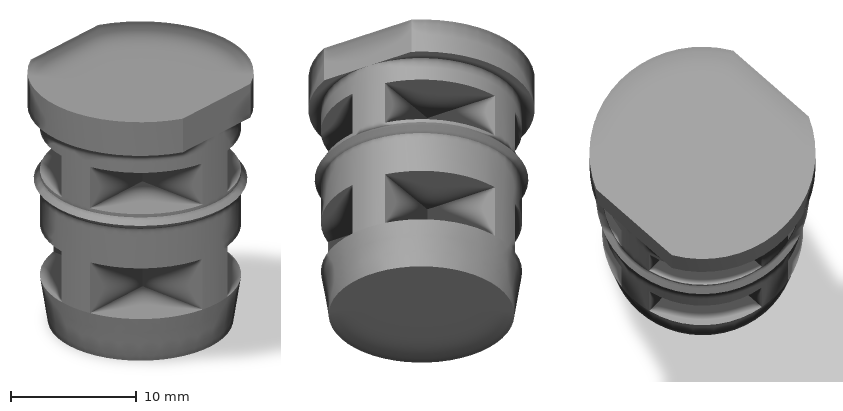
import cadquery as cq

total_height = 22.0
flange_diameter = 18.0
flange_thickness = 3.0
body_diameter = 16.02
across_flats = body_diameter

nose_height = 4.0
nose_tip_diameter = 14.78

ridge_diameter = 17.0
ridge_center_z = 12.55
ridge_half_height = 0.5

arm_width = 3.04
lower_pocket_bottom = nose_height
lower_pocket_top = 8.51
upper_pocket_bottom = 13.33
upper_pocket_top = 17.0

flange_bottom = total_height - flange_thickness
body_radius = body_diameter / 2
ridge_radius = ridge_diameter / 2


def make_body():
    """Revolve the nose, the ridge and the plain body as one solid about Z."""
    return (
        cq.Workplane("XZ")
        .moveTo(0, 0)
        .lineTo(nose_tip_diameter / 2, 0)
        .lineTo(body_radius, nose_height)
        .lineTo(body_radius, ridge_center_z - ridge_half_height)
        .lineTo(ridge_radius, ridge_center_z)
        .lineTo(body_radius, ridge_center_z + ridge_half_height)
        .lineTo(body_radius, flange_bottom)
        .lineTo(0, flange_bottom)
        .close()
        .revolve(360, (0, 0, 0), (0, 1, 0))
    )


def make_flange():
    """Round head with two flats facing -X and +X."""
    base = cq.Workplane("XY").workplane(offset=flange_bottom)
    disc = base.circle(flange_diameter / 2).extrude(flange_thickness)
    slab = base.rect(across_flats, flange_diameter).extrude(flange_thickness)
    return disc.intersect(slab)


def make_pocket_tier(bottom, top):
    """Four square corner cutters around the cross-shaped core."""
    pocket_side = body_radius
    pocket_offset = (arm_width + pocket_side) / 2
    return (
        cq.Workplane("XY")
        .workplane(offset=bottom)
        .rect(2 * pocket_offset, 2 * pocket_offset, forConstruction=True)
        .vertices()
        .rect(pocket_side, pocket_side)
        .extrude(top - bottom)
    )


result = make_body().union(make_flange())
result = result.cut(make_pocket_tier(lower_pocket_bottom, lower_pocket_top))
result = result.cut(make_pocket_tier(upper_pocket_bottom, upper_pocket_top))